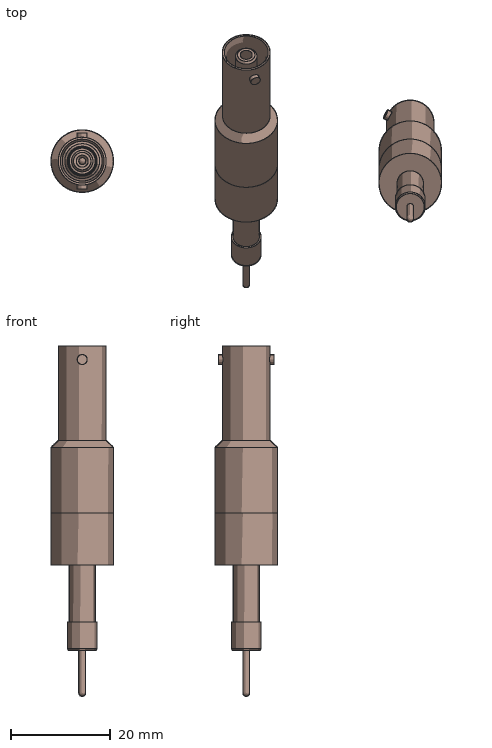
import cadquery as cq

total_height = 70.36
ferrule_bottom = 9.25
ferrule_top = 14.95
collar_bottom = 26.35
collar_top = 36.8
shoulder_bottom = 50.0
shoulder_top = 51.4

housing_diameter = 12.57
housing_radius = housing_diameter / 2
barrel_radius = 4.8
cable_radius = 2.65
ferrule_radius = 3.0
ferrule_chamfer_radial = 0.2
ferrule_chamfer_axial = 0.4
pin_radius = 0.7

lug_radius = 1.0
lug_depth_below_rim = 2.75
lug_height = total_height - lug_depth_below_rim
lug_reach = 5.6
lug_root = 4.5

mouth_radius = 4.4
bore_radius = 4.0
mouth_taper_depth = 1.5
bore_floor = shoulder_top
seat_cone_radius = 3.5
seat_shallow_rise = 0.2
seat_cone_base = bore_floor + seat_shallow_rise
seat_top_radius = 3.0
seat_top = seat_cone_base + (seat_cone_radius - seat_top_radius)

insulator_radius = 2.8
insulator_step_height = 0.5
insulator_step_top = seat_top + insulator_step_height
insulator_step_chamfer = 0.2
nose_radius = 2.15
nose_depth_below_rim = 0.75
nose_top = total_height - nose_depth_below_rim
nose_chamfer = 0.4
socket_radius = 1.2
socket_depth = 3.0
socket_floor = nose_top - socket_depth
funnel_bottom = socket_floor - (socket_radius - pin_radius)
pin_top = funnel_bottom


def revolve_profile(points):
    """Turn a closed (radius, height) outline about the Z axis."""
    return cq.Workplane("XZ").polyline(points).close().revolve(360, (0, 0, 0), (0, 1, 0))


def make_shell():
    """Upper housing: shouldered barrel, hollow mouth, inner seat and bayonet lugs."""
    body = revolve_profile([
        (insulator_radius, collar_top),
        (housing_radius, collar_top),
        (housing_radius, shoulder_bottom),
        (barrel_radius, shoulder_top),
        (barrel_radius, total_height),
        (mouth_radius, total_height),
        (bore_radius, total_height - mouth_taper_depth),
        (bore_radius, bore_floor),
        (seat_cone_radius, seat_cone_base),
        (seat_top_radius, seat_top),
        (insulator_radius, seat_top),
    ])
    for side in (-1, 1):
        lug = (
            cq.Workplane("XZ", origin=(0, side * lug_root, lug_height))
            .circle(lug_radius)
            .extrude(-side * (lug_reach - lug_root))
        )
        body = body.union(lug)
    return body


def make_insulator():
    """Insulating plug filling the shell and standing up inside its mouth."""
    return revolve_profile([
        (pin_radius, collar_top),
        (insulator_radius, collar_top),
        (insulator_radius, insulator_step_top - insulator_step_chamfer),
        (insulator_radius - insulator_step_chamfer, insulator_step_top),
        (nose_radius, insulator_step_top),
        (nose_radius, nose_top - nose_chamfer),
        (nose_radius - nose_chamfer, nose_top),
        (socket_radius, nose_top),
        (socket_radius, socket_floor),
        (pin_radius, funnel_bottom),
    ])


def make_sleeve(radius, bottom, top):
    """Plain cylinder with a through hole that fits the pin."""
    return (
        cq.Workplane("XY", origin=(0, 0, bottom))
        .circle(radius)
        .circle(pin_radius)
        .extrude(top - bottom)
    )


def make_ferrule():
    """Ferrule at the cable end, with a bevelled lower rim."""
    return revolve_profile([
        (pin_radius, ferrule_bottom),
        (ferrule_radius - ferrule_chamfer_radial, ferrule_bottom),
        (ferrule_radius, ferrule_bottom + ferrule_chamfer_axial),
        (ferrule_radius, ferrule_top),
        (pin_radius, ferrule_top),
    ])


def make_pin():
    """Contact pin along the whole axis, with a hemisphere at each end."""
    return (
        cq.Workplane("XZ")
        .moveTo(0, 0)
        .radiusArc((pin_radius, pin_radius), -pin_radius)
        .lineTo(pin_radius, pin_top - pin_radius)
        .radiusArc((0, pin_top), -pin_radius)
        .close()
        .revolve(360, (0, 0, 0), (0, 1, 0))
    )


shell = make_shell()
insulator = make_insulator()
collar = make_sleeve(housing_radius, collar_bottom, collar_top)
cable = make_sleeve(cable_radius, ferrule_top, collar_bottom)
ferrule = make_ferrule()
pin = make_pin()

result = cq.Compound.makeCompound([
    shell.val(), insulator.val(), collar.val(), cable.val(), ferrule.val(), pin.val(),
])